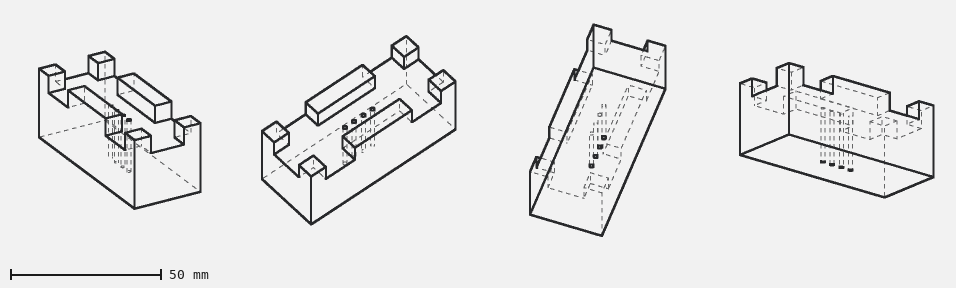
import cadquery as cq

length = 62.8
width = 25.4
height = 25.4

wall = width / 4
channel_width = width - 2 * wall
channel_depth = wall
cross_channel_offset = length / 2 - wall - channel_width / 2

hole_diameter = 1.3
hole_count = 4
hole_pitch = 4.0


def top_channel(size_x, size_y, center_x=0):
    """Cutting block that reaches from the channel floor to the top face."""
    return (
        cq.Workplane("XY")
        .box(size_x, size_y, channel_depth, centered=(True, True, False))
        .translate((center_x, 0, height - channel_depth))
    )


result = cq.Workplane("XY").box(length, width, height, centered=(True, True, False))

result = result.cut(top_channel(length, channel_width))
for side in (-1, 1):
    result = result.cut(top_channel(channel_width, width, side * cross_channel_offset))

holes = (
    cq.Workplane("XY")
    .rarray(hole_pitch, 0.6, hole_count, 1)
    .circle(hole_diameter / 2)
    .extrude(height)
)
result = result.cut(holes)